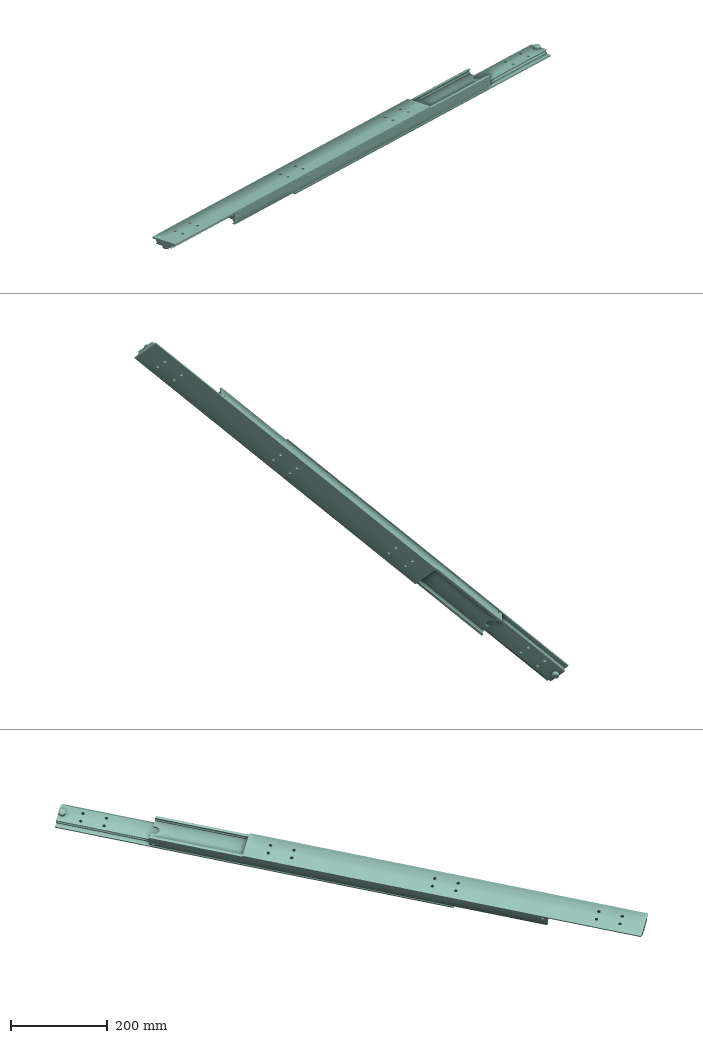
import cadquery as cq


slide_width = 60.0
slide_height = 34.0
member_length = 850.0
rail_shift = 200.0

race_radius = 3.5
race_center_x = 22.0
race_center_z = 7.5
race_gap = 3.0

plate_thickness = 3.5
block_half_width = race_center_x - race_gap / 2
block_inner_z = 4.0
hole_diameter = 7.0
hole_spacing_x = 20.0
hole_y_from_outer_end = (50.0, 100.0, 400.0, 450.0, 750.0, 800.0)

bumper_radius = 8.0
bumper_chamfer = 2.0
bumper_inner_z = -3.0

wall_outer_x = 29.0
wall_inner_x = race_center_x + race_gap / 2
wall_half_height = 12.5
web_thickness = 4.0
notch_radius = 9.0
notch_depth = 15.0
stop_hole_diameter = 5.0
stop_hole_inset = 10.0


def box_between(x0, x1, y0, y1, z0, z1):
    """A box spanning the given limits."""
    return cq.Workplane("XY").box(x1 - x0, y1 - y0, z1 - z0, centered=False).translate((x0, y0, z0))


def race_groove(side, center_z):
    """A round bar along Y that cuts one ball race."""
    return (
        cq.Workplane("XZ")
        .center(side * race_center_x, center_z)
        .circle(race_radius)
        .extrude(member_length / 2 + rail_shift, both=True)
    )


def make_upper_rail():
    """Wide plate with a grooved block below it, fixing holes and a round bumper at the -Y end."""
    top_z = slide_height / 2
    plate_bottom_z = top_z - plate_thickness
    outer_y = -member_length / 2 - rail_shift
    inner_y = outer_y + member_length

    plate = box_between(-slide_width / 2, slide_width / 2, outer_y, inner_y, plate_bottom_z, top_z)
    block = box_between(-block_half_width, block_half_width, outer_y, inner_y, block_inner_z, plate_bottom_z)
    rail = plate.union(block)
    for side in (-1, 1):
        rail = rail.cut(race_groove(side, race_center_z))

    hole_points = [
        (side * hole_spacing_x / 2, outer_y + distance)
        for side in (-1, 1)
        for distance in hole_y_from_outer_end
    ]
    holes = (
        cq.Workplane("XY", origin=(0, 0, block_inner_z))
        .pushPoints(hole_points)
        .circle(hole_diameter / 2)
        .extrude(top_z - block_inner_z)
    )
    rail = rail.cut(holes)

    bumper = (
        cq.Workplane("XY", origin=(0, outer_y + bumper_radius, bumper_inner_z))
        .circle(bumper_radius)
        .extrude(plate_bottom_z - bumper_inner_z)
        .faces("<Z")
        .chamfer(bumper_chamfer)
    )
    return rail.union(bumper)


def make_intermediate():
    """H-section with ball races inside its walls, bumper notches in its web and stop holes."""
    end_y = member_length / 2
    body = cq.Workplane("XY").box(2 * wall_outer_x, member_length, 2 * wall_half_height)
    for level in (-1, 1):
        channel = box_between(
            -wall_inner_x, wall_inner_x, -end_y, end_y, web_thickness / 2, wall_half_height
        )
        if level < 0:
            channel = channel.mirror("XY")
        body = body.cut(channel)
        for side in (-1, 1):
            body = body.cut(race_groove(side, level * race_center_z))

    for end in (-1, 1):
        tip_center_y = end * (end_y - notch_depth + notch_radius)
        notch_tip = (
            cq.Workplane("XY")
            .center(0, tip_center_y)
            .circle(notch_radius)
            .extrude(web_thickness, both=True)
        )
        notch_mouth = (
            cq.Workplane("XY")
            .center(0, end * end_y)
            .rect(2 * notch_radius, 2 * (notch_depth - notch_radius))
            .extrude(web_thickness, both=True)
        )
        stop_holes = (
            cq.Workplane("YZ")
            .center(end * (end_y - stop_hole_inset), -end * race_center_z)
            .circle(stop_hole_diameter / 2)
            .extrude(wall_outer_x, both=True)
        )
        body = body.cut(notch_tip).cut(notch_mouth).cut(stop_holes)
    return body


upper_rail = make_upper_rail()
lower_rail = upper_rail.rotate((0, 0, 0), (1, 0, 0), 180)
intermediate = make_intermediate()

result = cq.Compound.makeCompound([upper_rail.val(), lower_rail.val(), intermediate.val()])